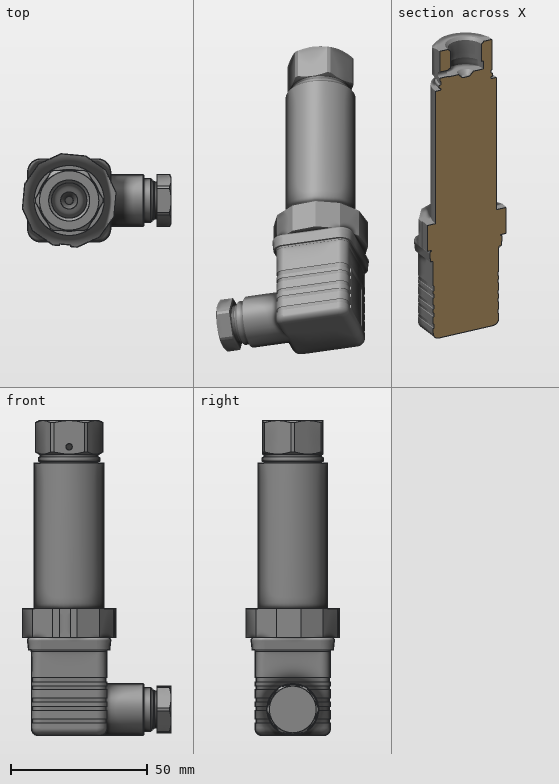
import cadquery as cq
import math


total_length = 54.3
total_width = 34.2
total_height = 115.1

tube_top = 99.4
collar_top = 46.4
collar_bottom = 35.8
flange_bottom = 31.3

tube_radius = 12.8
neck_radius = 10.6
ring_radius = 11.3
ring_bottom = 100.0
ring_height = 1.6
ring_fillet = 0.6

hexagon_sides = 6

nut_bottom = 102.7
nut_across_flats = 22.0
nut_corner_radius = 12.3
nut_face_radius = 10.8
nut_bevel_angle = 30.0
bore_radius = 6.5
bore_depth = 8.0
bore_chamfer = 1.0
relief_radius = 7.3
relief_height = 3.0
port_cone_radius = 3.1
port_floor_radius = 1.5
vent_radius = 1.2
vent_height = 105.4

collar_sides = 12
collar_turn = 9.7
collar_radius = total_width / 2 / math.cos(math.radians(collar_turn))
notch_width = 4.1
notch_depth = 0.6

body_width = 27.5
body_corner = 3.5
body_bottom_fillet = 2.5
lip_width = 27.7
lip_bottom = 30.7
flange_width = 29.7
flange_corner = 4.6
flange_taper = 6.0
flange_fillet = 1.0

grooves = [(4.6, 6.1), (9.2, 10.6), (12.3, 13.7), (16.8, 18.2), (19.6, 21.3)]
groove_depth = 0.3
groove_gap_width = 16.1

panel_depth = 0.2
upper_panel_width = 20.1
upper_panel_bottom = 23.0
upper_panel_top = 29.2
upper_panel_corner = 0.7
lower_panel_width = 13.1
lower_panel_corner = 1.0

gland_radius = 9.4
gland_height = 9.5
gland_sleeve_end = 27.3
gland_sleeve_chamfer = 0.3
gland_step_radius = 8.0
gland_step_end = 30.2
gland_step_chamfer = 0.5
gland_neck_radius = 6.8
gland_ring_radius = 7.1
gland_ring_width = 0.9
gland_ring_chamfer = 0.29
gland_nut_start = 32.0
gland_end = total_length - total_width / 2
gland_nut_across_flats = 17.0
gland_nut_corner_radius = 9.5
gland_nut_face_radius = 8.5
gland_nut_bevel_angle = 30.0


def cylinder(radius, bottom, top):
    """Round bar on the Z axis between two levels."""
    return cq.Workplane("XY").workplane(offset=bottom).circle(radius).extrude(top - bottom)


def rounded_block(width, corner, bottom, top):
    """Square block on the Z axis with rounded vertical edges."""
    block = cq.Workplane("XY").workplane(offset=bottom).rect(width, width).extrude(top - bottom)
    return block.edges("|Z").fillet(corner)


def beveled_hexagon(across_flats, corner_radius, face_radius, bevel_angle, height, both_ends):
    """Hexagon bar from Z = 0 with flats on +-Y, its corners turned round and one or both ends beveled."""
    across_corners = across_flats / math.cos(math.pi / hexagon_sides)
    hexagon = cq.Workplane("XY").polygon(hexagon_sides, across_corners).extrude(height)
    rise = (corner_radius - face_radius) * math.tan(math.radians(bevel_angle))
    profile = cq.Workplane("XZ").lineTo(face_radius if both_ends else corner_radius, 0)
    if both_ends:
        profile = profile.lineTo(corner_radius, rise)
    profile = profile.lineTo(corner_radius, height - rise).lineTo(face_radius, height)
    envelope = profile.lineTo(0, height).close().revolve(360, (0, 0, 0), (0, 1, 0))
    return hexagon.intersect(envelope)


def make_tube():
    tube = cylinder(tube_radius, collar_top, tube_top)
    neck = cylinder(neck_radius, tube_top, nut_bottom)
    ring = cylinder(ring_radius, ring_bottom, ring_bottom + ring_height).edges().fillet(ring_fillet)
    return tube.union(neck).union(ring)


def make_port_nut():
    nut = beveled_hexagon(
        nut_across_flats,
        nut_corner_radius,
        nut_face_radius,
        nut_bevel_angle,
        total_height - nut_bottom,
        both_ends=True,
    )
    return nut.translate((0, 0, nut_bottom))


def make_port():
    """Chamfered bore with a wider relief below it, a conical seat in the floor and a side vent."""
    relief_top = total_height - bore_depth
    floor = relief_top - relief_height
    seat_bottom = floor - (port_cone_radius - port_floor_radius)
    port = (
        cq.Workplane("XZ")
        .moveTo(0, seat_bottom)
        .lineTo(port_floor_radius, seat_bottom)
        .lineTo(port_cone_radius, floor)
        .lineTo(relief_radius, floor)
        .lineTo(relief_radius, relief_top)
        .lineTo(bore_radius, relief_top)
        .lineTo(bore_radius, total_height - bore_chamfer)
        .lineTo(bore_radius + bore_chamfer, total_height)
        .lineTo(0, total_height)
        .close()
        .revolve(360, (0, 0, 0), (0, 1, 0))
    )
    vent = cq.Workplane("XZ").center(0, vent_height).circle(vent_radius).extrude(nut_across_flats)
    return port.union(vent)


def make_collar():
    """Twelve-sided collar, turned slightly, with a notch in the middle of one side near -Y."""
    height = collar_top - collar_bottom
    collar = cq.Workplane("XY").polygon(collar_sides, 2 * collar_radius).extrude(height)
    collar = collar.rotate((0, 0, 0), (0, 0, 1), collar_turn)
    side_angle = 360 / collar_sides
    side_distance = collar_radius * math.cos(math.radians(side_angle / 2))
    notch = (
        cq.Workplane("XY")
        .center(0, -side_distance)
        .rect(notch_width, 2 * notch_depth)
        .extrude(height)
        .rotate((0, 0, 0), (0, 0, 1), collar_turn - side_angle / 2)
    )
    return collar.cut(notch).translate((0, 0, collar_bottom))


def make_flange():
    """Flange under the collar, widening upward to a rounded rim."""
    outline = cq.Sketch().rect(flange_width, flange_width).vertices().fillet(flange_corner)
    flange = (
        cq.Workplane("XY")
        .workplane(offset=flange_bottom)
        .placeSketch(outline)
        .extrude(collar_bottom - flange_bottom, taper=-flange_taper)
    )
    return flange.faces(">Z").edges().fillet(flange_fillet)


def make_grooves():
    """Grooves around the housing, left uncut across the middle of the -X face."""
    core_width = body_width - 2 * groove_depth
    core_corner = body_corner - groove_depth
    cutter = None
    for bottom, top in grooves:
        band = cq.Workplane("XY").workplane(offset=bottom).rect(2 * body_width, 2 * body_width)
        band = band.extrude(top - bottom)
        band = band.cut(rounded_block(core_width, core_corner, bottom, top))
        cutter = band if cutter is None else cutter.union(band)
    gap = cq.Workplane("XY").box(
        2 * body_width, groove_gap_width, flange_bottom, centered=(True, True, False)
    )
    return cutter.cut(gap.translate((-body_width, 0, 0)))


def make_panel(width, bottom, top, corner):
    """Cutter for a shallow label panel on the -X face."""
    panel = (
        cq.Workplane("YZ", origin=(-body_width / 2, 0, (bottom + top) / 2))
        .rect(width, top - bottom)
        .extrude(panel_depth)
    )
    return panel.edges("|X").fillet(corner)


def make_housing():
    body = rounded_block(body_width, body_corner, 0, collar_bottom)
    body = body.faces("<Z").edges().fillet(body_bottom_fillet)
    lip = rounded_block(lip_width, body_corner, lip_bottom, flange_bottom)
    upper_panel = make_panel(
        upper_panel_width, upper_panel_bottom, upper_panel_top, upper_panel_corner
    )
    lower_panel = make_panel(lower_panel_width, grooves[0][0], grooves[-1][1], lower_panel_corner)
    return body.cut(make_grooves()).cut(upper_panel).cut(lower_panel).union(lip).union(make_flange())


def make_gland():
    """Cable gland built upward from the tube axis, then laid along +X."""
    sleeve = cylinder(gland_radius, 0, gland_sleeve_end).faces(">Z").chamfer(gland_sleeve_chamfer)
    step = cylinder(gland_step_radius, gland_sleeve_end, gland_step_end)
    step = step.faces(">Z").chamfer(gland_step_chamfer)
    neck = cylinder(gland_neck_radius, gland_step_end, gland_nut_start)
    ring = cylinder(gland_ring_radius, gland_step_end, gland_step_end + gland_ring_width)
    ring = ring.faces(">Z").chamfer(gland_ring_chamfer)
    nut = beveled_hexagon(
        gland_nut_across_flats,
        gland_nut_corner_radius,
        gland_nut_face_radius,
        gland_nut_bevel_angle,
        gland_end - gland_nut_start,
        both_ends=False,
    )
    nut = nut.rotate((0, 0, 0), (0, 0, 1), 90).translate((0, 0, gland_nut_start))
    gland = sleeve.union(step).union(neck).union(ring).union(nut)
    return gland.rotate((0, 0, 0), (0, 1, 0), 90).translate((0, 0, gland_height))


result = (
    make_housing()
    .union(make_collar())
    .union(make_tube())
    .union(make_port_nut())
    .union(make_gland())
    .cut(make_port())
)